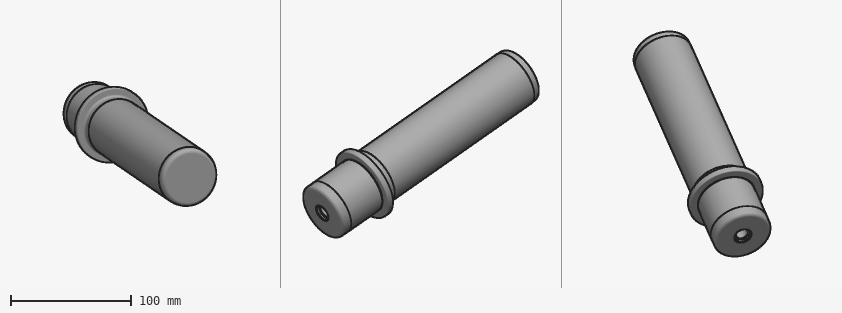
import cadquery as cq
import math

LENGTH = 225.0
SHAFT_RADIUS = 25.0
COLLAR_RADIUS = 32.0
COLLAR_OFFSET = 45.0
COLLAR_WIDTH = 6.0
COLLAR_EDGE_FILLET = 1.0
ROOT_FILLET = 2.0
NEAR_END_FILLET = 3.0
FAR_END_FILLET = 3.5

UNDERCUT_WIDTH = 1.5
UNDERCUT_HEIGHT = 1.1
UNDERCUT_DEPTH = 0.34

NEAR_RELIEF = 0.11
RELIEF = 0.2
NEAR_BAND_LENGTH = 9.7
FAR_BAND_LENGTH = 7.5
NECK_LENGTH = 8.0

MOUTH_CHAMFER = 0.7
COUNTERBORE_RADIUS = 7.0
COUNTERBORE_DEPTH = 3.0
DRILL_RADIUS = 5.2
DRILL_DEPTH = 13.5
DRILL_POINT_ANGLE = 118.0

NEAR_END = -LENGTH / 2
FAR_END = LENGTH / 2
COLLAR_NEAR = NEAR_END + COLLAR_OFFSET
COLLAR_FAR = COLLAR_NEAR + COLLAR_WIDTH
NECK_END = COLLAR_FAR + NECK_LENGTH
RELIEVED_RADIUS = SHAFT_RADIUS - RELIEF


def cylinder(start, end, radius):
    """Solid cylinder about X between two positions."""
    return cq.Workplane("YZ", origin=(start, 0, 0)).circle(radius).extrude(end - start)


def make_shaft():
    """Full-radius shaft with the reduced bands and rounded ends."""
    near_band_end = NEAR_END + NEAR_BAND_LENGTH
    far_band_start = FAR_END - FAR_BAND_LENGTH
    near_band = cylinder(NEAR_END, near_band_end, SHAFT_RADIUS - NEAR_RELIEF)
    far_band = cylinder(far_band_start, FAR_END, RELIEVED_RADIUS)
    near_band = near_band.faces("<X").edges().fillet(NEAR_END_FILLET)
    far_band = far_band.faces(">X").edges().fillet(FAR_END_FILLET)
    seat = cylinder(near_band_end, COLLAR_NEAR, SHAFT_RADIUS)
    neck = cylinder(COLLAR_NEAR, NECK_END, RELIEVED_RADIUS)
    body = cylinder(NECK_END, far_band_start, SHAFT_RADIUS)
    return near_band.union(seat).union(neck).union(body).union(far_band)


def make_root_fillet():
    """Concave ring joining the far collar face to the neck."""
    centre_x = COLLAR_FAR + ROOT_FILLET
    centre_r = RELIEVED_RADIUS + ROOT_FILLET
    middle = ROOT_FILLET * math.sqrt(0.5)
    return (
        cq.Workplane("XY")
        .moveTo(COLLAR_FAR, centre_r)
        .threePointArc((centre_x - middle, centre_r - middle), (centre_x, RELIEVED_RADIUS))
        .lineTo(centre_x, 0)
        .lineTo(COLLAR_FAR, 0)
        .close()
        .revolve(360, (0, 0, 0), (1, 0, 0))
    )


def make_collar():
    """Flange with rounded rims and a fillet on its far side."""
    flange = cylinder(COLLAR_NEAR, COLLAR_FAR, COLLAR_RADIUS)
    flange = flange.faces("<X or >X").edges().fillet(COLLAR_EDGE_FILLET)
    return flange.union(make_root_fillet())


def make_undercut():
    """Cutter that dips into both the shaft and the near collar face."""
    profile = [
        (COLLAR_NEAR - UNDERCUT_WIDTH, SHAFT_RADIUS),
        (COLLAR_NEAR, SHAFT_RADIUS - UNDERCUT_DEPTH),
        (COLLAR_NEAR + UNDERCUT_DEPTH, SHAFT_RADIUS),
        (COLLAR_NEAR, SHAFT_RADIUS + UNDERCUT_HEIGHT),
    ]
    return cq.Workplane("XY").polyline(profile).close().revolve(360, (0, 0, 0), (1, 0, 0))


def make_centre_hole():
    """Cutter for the chamfered, stepped and pointed hole in the near end."""
    mouth_radius = COUNTERBORE_RADIUS + MOUTH_CHAMFER
    step = NEAR_END + COUNTERBORE_DEPTH
    drill_end = NEAR_END + DRILL_DEPTH
    point_length = DRILL_RADIUS / math.tan(math.radians(DRILL_POINT_ANGLE / 2))
    profile = [
        (NEAR_END, 0),
        (NEAR_END, mouth_radius),
        (NEAR_END + MOUTH_CHAMFER, COUNTERBORE_RADIUS),
        (step, COUNTERBORE_RADIUS),
        (step, DRILL_RADIUS),
        (drill_end, DRILL_RADIUS),
        (drill_end + point_length, 0),
    ]
    return cq.Workplane("XY").polyline(profile).close().revolve(360, (0, 0, 0), (1, 0, 0))


result = make_shaft().union(make_collar()).cut(make_undercut()).cut(make_centre_hole())